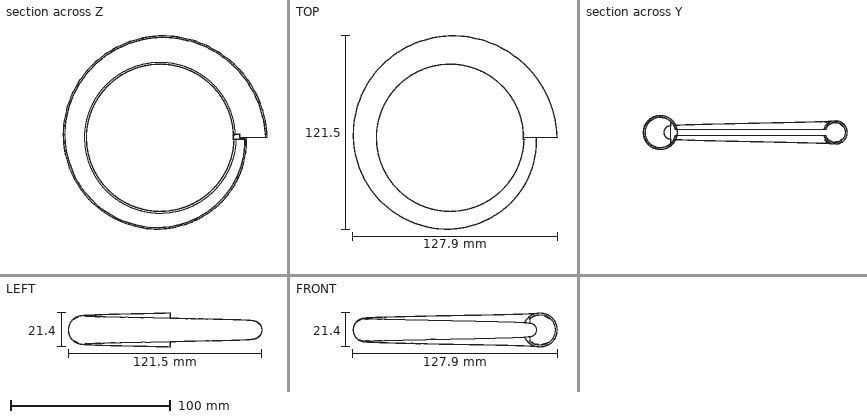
import cadquery as cq
import math

inner_radius = 45.8
mouth_diameter = 21.4
tail_diameter = 8.4
wall = 1.2
slot_height = 4.0
web_length = 2.2
cap_thickness = 1.0

tail_centre_radius = inner_radius + tail_diameter / 2
web_outer_radius = tail_centre_radius
slot_inner_radius = inner_radius - wall
slot_outer_radius = tail_centre_radius

quarters = 4
sections_per_quarter = 6


def tube_diameter(turn):
    """Outer diameter after a fraction of the turn, shrinking evenly from mouth to tail."""
    return mouth_diameter + (tail_diameter - mouth_diameter) * turn


def section_circle(turn, inset):
    """Upright circle around the tube's centre line, inset from the outer surface.

    The circle starts at its innermost point, so the seam of the loft falls in the slot.
    """
    angle = 2 * math.pi * turn
    outer_radius = tube_diameter(turn) / 2
    inward = (-math.cos(angle), -math.sin(angle), 0)
    tangent = (-math.sin(angle), math.cos(angle), 0)
    plane = cq.Plane(origin=(0, 0, 0), xDir=inward, normal=tangent)
    circle = cq.Workplane(plane).center(-inner_radius - outer_radius, 0).circle(outer_radius - inset)
    return circle.wires().val()


def quarter_horn(quarter, inset):
    """Solid taper over one quarter turn."""
    sections = []
    for step in range(sections_per_quarter + 1):
        turn = (quarter + step / sections_per_quarter) / quarters
        sections.append(section_circle(turn, inset))
    return cq.Workplane(cq.Solid.makeLoft(sections))


def horn(inset):
    """Solid taper over the full turn, from the mouth to the tail."""
    body = quarter_horn(0, inset)
    for quarter in range(1, quarters):
        body = body.union(quarter_horn(quarter, inset), clean=False)
    return body


def slot_ring():
    """Flat ring that opens the inner side of the tube."""
    ring = cq.Workplane("XY").circle(slot_outer_radius).circle(slot_inner_radius)
    return ring.extrude(slot_height / 2, both=True)


def mouth_web():
    """Block that stays solid on the inner side of the mouth, in front of the tail."""
    return cq.Workplane("XY").box(
        web_outer_radius, web_length, mouth_diameter, centered=(False, False, True)
    )


def tail_cap():
    """Block that stays solid across the end of the tail."""
    block = cq.Workplane("XY").box(
        inner_radius + mouth_diameter, cap_thickness, mouth_diameter, centered=(False, False, True)
    )
    return block.translate((0, -cap_thickness, 0))


tube = horn(0)
hollow = horn(wall).union(slot_ring(), clean=False)
hollow = hollow.cut(mouth_web(), clean=False).cut(tail_cap(), clean=False)

result = tube.cut(hollow, clean=False).solids()